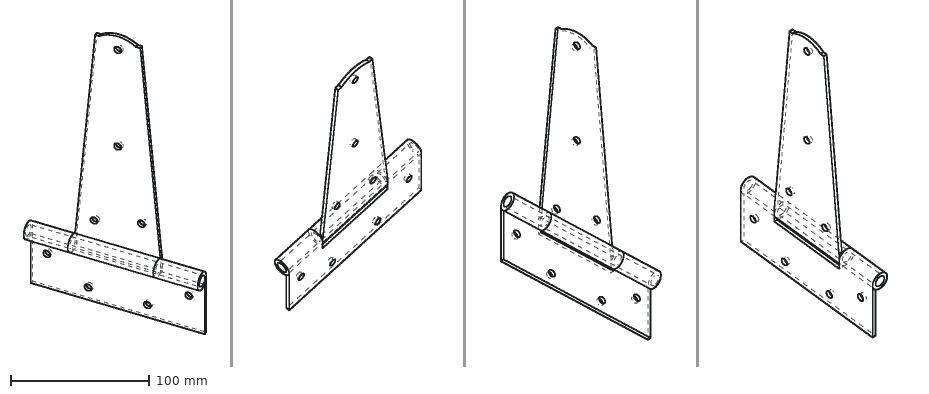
import cadquery as cq
import math

leaf_thickness = 3.0
knuckle_radius = 7.25
bore_radius = knuckle_radius - leaf_thickness
pin_height = 51.0
knuckle_top = pin_height + knuckle_radius
knuckle_bottom = pin_height - knuckle_radius

base_width = 140.0
strap_knuckle_width = 69.0
side_knuckle_width = (base_width - strap_knuckle_width) / 2
overall_width = 142.0
head_height = (overall_width - base_width) / 2

strap_root_half_width = 34.2
strap_tip_half_width = 18.2
tip_arc_half_width = 14.8
tip_arc_height = 4.7
strap_top = 246.0
shoulder_height = strap_top - tip_arc_height

screw_hole_diameter = 5.7
strap_holes = [(0, 233.8), (0, 146.5), (19.07, 83.0), (-19.07, 73.3)]
upper_base_hole = (57.0, 30.5)
lower_base_hole = (23.9, 11.0)
base_holes = [(side * x, z) for x, z in (upper_base_hole, lower_base_hole) for side in (-1, 1)]


def x_cylinder(radius, start, length):
    """Cylinder on the hinge axis, running from X = start."""
    center = cq.Vector(start, -knuckle_radius, pin_height)
    return cq.Workplane(cq.Solid.makeCylinder(radius, length, center, cq.Vector(1, 0, 0)))


def x_centered_plate(width, bottom, top):
    """Rectangular piece of leaf, centred on X = 0."""
    height = top - bottom
    plate = cq.Workplane().box(width, leaf_thickness, height)
    return plate.translate((0, -leaf_thickness / 2, bottom + height / 2))


def screw_holes(points):
    """Cutters for screw holes through a leaf."""
    return cq.Workplane("XZ").pushPoints(points).circle(screw_hole_diameter / 2).extrude(leaf_thickness)


def make_strap():
    """Tapered leaf with a rounded tip and the middle knuckle."""
    leaf = (
        cq.Workplane("XZ")
        .moveTo(-strap_root_half_width, knuckle_top)
        .lineTo(-strap_tip_half_width, shoulder_height)
        .lineTo(-tip_arc_half_width, shoulder_height)
        .threePointArc((0, strap_top), (tip_arc_half_width, shoulder_height))
        .lineTo(strap_tip_half_width, shoulder_height)
        .lineTo(strap_root_half_width, knuckle_top)
        .close()
        .extrude(leaf_thickness)
    )
    root = x_centered_plate(strap_knuckle_width, pin_height, knuckle_top)
    knuckle = x_cylinder(knuckle_radius, -strap_knuckle_width / 2, strap_knuckle_width)
    bore = x_cylinder(bore_radius, -strap_knuckle_width / 2, strap_knuckle_width)
    return leaf.union(root).union(knuckle).cut(bore).cut(screw_holes(strap_holes))


def make_base():
    """Rectangular leaf with a knuckle at each end and a notch for the strap knuckle."""
    leaf = x_centered_plate(base_width, 0, pin_height)
    notch = x_centered_plate(strap_knuckle_width, knuckle_bottom, pin_height)
    base = leaf.cut(notch)
    for start in (-base_width / 2, strap_knuckle_width / 2):
        base = base.union(x_cylinder(knuckle_radius, start, side_knuckle_width))
    bore = x_cylinder(bore_radius, -base_width / 2, base_width)
    return base.cut(bore).cut(screw_holes(base_holes))


def make_pin():
    """Shaft through all three knuckles with a shallow domed head on each end."""
    half_shaft = base_width / 2
    half_pin = overall_width / 2
    dome_radius = (knuckle_radius**2 + head_height**2) / (2 * head_height)
    mid_angle = math.asin(knuckle_radius / dome_radius) / 2
    mid_x = half_pin - dome_radius * (1 - math.cos(mid_angle))
    mid_radius = dome_radius * math.sin(mid_angle)
    profile = (
        cq.Workplane("XY")
        .moveTo(-half_pin, 0)
        .threePointArc((-mid_x, mid_radius), (-half_shaft, knuckle_radius))
        .lineTo(-half_shaft, bore_radius)
        .lineTo(half_shaft, bore_radius)
        .lineTo(half_shaft, knuckle_radius)
        .threePointArc((mid_x, mid_radius), (half_pin, 0))
        .close()
    )
    pin = profile.revolve(360, (0, 0, 0), (1, 0, 0))
    return pin.translate((0, -knuckle_radius, pin_height))


strap = make_strap()
base = make_base()
pin = make_pin()

result = cq.Compound.makeCompound([strap.val(), base.val(), pin.val()])